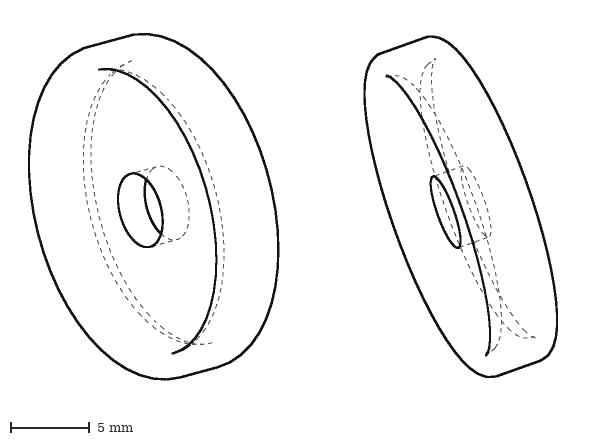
import cadquery as cq
import math

outer_diameter = 21.8
thickness = 4.5
bore_diameter = 4.8

rim_width = 1.6
floor_fillet = 0.4

outer_radius = outer_diameter / 2
bore_radius = bore_diameter / 2
half_thickness = thickness / 2
rim_radius = rim_width / 2
rim_middle = outer_radius - rim_radius
recess_radius = outer_radius - rim_width
recess_depth = rim_radius + floor_fillet
half_web = half_thickness - recess_depth
rim_base = half_thickness - rim_radius


def make_section():
    """Closed cross-section, with radius along X and the disc axis along Y."""
    floor_edge = recess_radius - floor_fillet
    fillet_offset = floor_fillet * math.sin(math.radians(45))
    fillet_mid_radius = floor_edge + fillet_offset
    fillet_mid_y = half_web + floor_fillet - fillet_offset
    return (
        cq.Workplane("XY")
        .moveTo(bore_radius, -half_web)
        .lineTo(floor_edge, -half_web)
        .threePointArc((fillet_mid_radius, -fillet_mid_y), (recess_radius, -rim_base))
        .threePointArc((rim_middle, -half_thickness), (outer_radius, -rim_base))
        .lineTo(outer_radius, rim_base)
        .threePointArc((rim_middle, half_thickness), (recess_radius, rim_base))
        .threePointArc((fillet_mid_radius, fillet_mid_y), (floor_edge, half_web))
        .lineTo(bore_radius, half_web)
        .close()
    )


result = make_section().revolve(360, (0, 0, 0), (0, 1, 0))